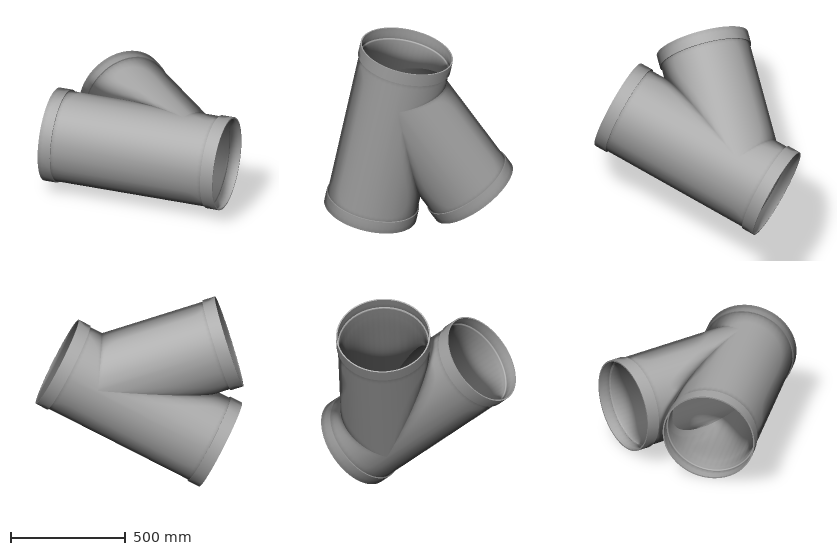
import cadquery as cq
import math

run_length = 802.0
pipe_diameter = 400.0
bore_diameter = 388.0
collar_diameter = 412.0
socket_diameter = pipe_diameter
collar_length = 56.0
shoulder_radius = (socket_diameter - bore_diameter) / 2
socket_depth = collar_length - shoulder_radius

branch_angle = math.radians(45)
branch_length = 600.0
crossing_distance = 601.5

crossing = cq.Vector(0, 0, 0)
toward_left = cq.Vector(-1, 0, 0)
toward_right = cq.Vector(1, 0, 0)
toward_branch = cq.Vector(-math.cos(branch_angle), math.sin(branch_angle), 0)

mouths = [
    (toward_left, crossing_distance),
    (toward_right, run_length - crossing_distance),
    (toward_branch, branch_length),
]


def rod(diameter, start, direction, length):
    """Solid cylinder from a start point along a direction."""
    return cq.Workplane(cq.Solid.makeCylinder(diameter / 2, length, start, direction))


def run_and_branch(diameter):
    """Solid run joined to a solid branch that starts at the crossing.

    The branch is cut back to the mitre plane, where it meets the far half of the run.
    """
    run = rod(diameter, toward_left * crossing_distance, toward_right, run_length)
    overlap = diameter
    branch = rod(diameter, toward_branch * -overlap, toward_branch, branch_length + overlap)
    mitre_normal = (toward_branch - toward_right).normalized()
    ample_size = 4 * run_length
    kept_side = (
        cq.Workplane(cq.Plane(crossing, normal=mitre_normal))
        .rect(ample_size, ample_size)
        .extrude(ample_size)
    )
    return run.union(branch.intersect(kept_side))


def collar(direction, distance):
    """Solid collar ending at a mouth."""
    return rod(collar_diameter, direction * (distance - collar_length), direction, collar_length)


def socket(direction, distance):
    """Space inside a collar, narrowing to the bore over a rounded stop shoulder."""
    socket_radius = socket_diameter / 2
    bore_radius = bore_diameter / 2
    arc_offset = shoulder_radius * math.sqrt(0.5)
    up = cq.Vector(0, 0, 1)
    mouth_plane = cq.Plane(direction * distance, xDir=up, normal=direction.cross(up))
    return (
        cq.Workplane(mouth_plane)
        .lineTo(socket_radius, 0)
        .lineTo(socket_radius, socket_depth)
        .threePointArc(
            (socket_radius - arc_offset, collar_length - arc_offset),
            (bore_radius, collar_length),
        )
        .lineTo(0, collar_length)
        .close()
        .revolve(360, (0, 0), (0, 1))
    )


result = run_and_branch(pipe_diameter)
for direction, distance in mouths:
    result = result.union(collar(direction, distance))

result = result.cut(run_and_branch(bore_diameter))

for direction, distance in mouths:
    result = result.cut(socket(direction, distance))